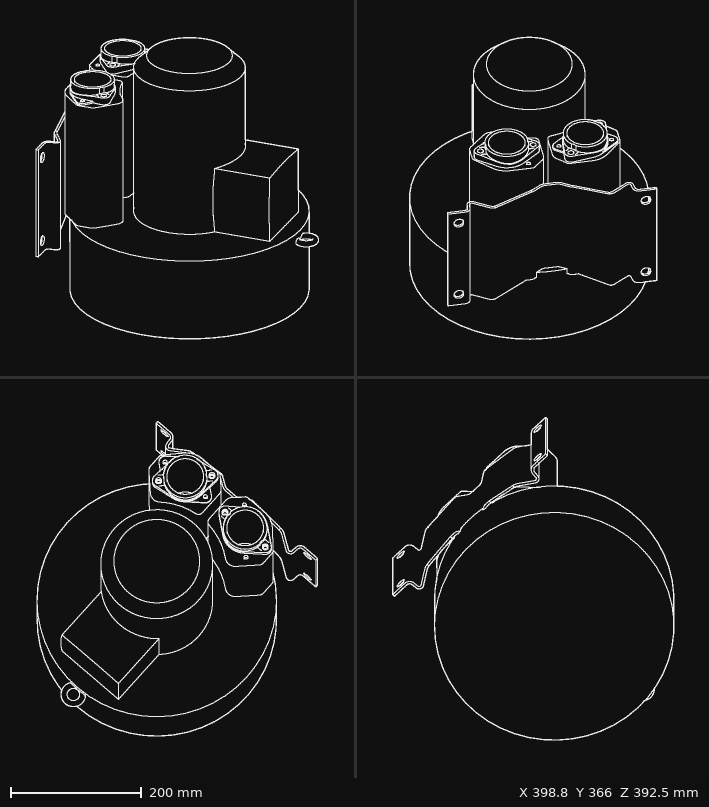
import cadquery as cq
import math


DRUM_RADIUS = 183.0
DRUM_HEIGHT = 131.0

MOTOR_RADIUS = 85.5
MOTOR_TOP = 392.5
MOTOR_CHAMFER = 20.0

BOX_END_X = 155.5
BOX_FAR_Y = 59.0
BOX_NEAR_Y = -56.0
BOX_CORNER_Z = 237.5
BOX_BOW = 2.6

EYE_WIRE_RADIUS = 4.7
EYE_RING_RADIUS = 14.3
EYE_X = 192.75
EYE_Z = 116.0

SILENCER_X = -135.0
SILENCER_Y = 61.0
SILENCER_TOP = 333.5
SILENCER_HALF_WIDTH = 54.0
SILENCER_BACK_X = -177.0
BACK_ROUND_RADIUS = 35.0
BACK_ROUND_Y = 63.7
MOTOR_GAP_RADIUS = 106.5
BACK_SLOPE_ANGLE = 133.4
BACK_CORNER_CUT = 20.0
FRONT_SLOPE_START_X = -112.0
BACK_CORNER_FILLET = 5.0
INNER_CORNER_FILLET = 12.0
SLOPE_FILLET = 8.0
FRONT_FILLET = 9.5
NOSE_FILLET = 15.0

PIPE_RADIUS = 33.5
BORE_RADIUS = 28.0
PIPE_TOP = 354.8
FLANGE_TOP = 344.8
FLANGE_WAIST_TOP = 340.0
FLANGE_RADIUS = 34.8
EAR_RADIUS = 9.5
EAR_OFFSET = 41.0
EAR_PAD_WIDTH = 17.0
GASKET_THICKNESS = 2.5
SCREW_HOLE_RADIUS = 4.5
SCREW_HEAD_RADIUS = 8.7
TAPPED_HOLE_RADIUS = 3.0
TAPPED_HOLE_DEPTH = 15.0
GASKET_EAR_ANGLE = 90.0
DIAGONAL_EAR_ANGLE = 43.0

BRACKET_THICKNESS = 4.0
BRACKET_FOOT_BACK_X = -187.0
BRACKET_FOOT_X = BRACKET_FOOT_BACK_X + BRACKET_THICKNESS / 2
BRACKET_BENDS = [
    (-171.7, 13.0, 13.0),
    (-183.5, 30.5, 9.0),
    (-183.5, 93.5, 16.0),
    (-161.5, 126.5, 5.0),
    (BRACKET_FOOT_X, 129.0, 8.0),
]
BRACKET_HALF_WIDTH = 162.6
BRACKET_BOTTOM = 91.0
BRACKET_TOP = 271.0
BRACKET_MID_BOTTOM = 121.5
BRACKET_MID_TOP = 293.5
BRACKET_TOP_SLOPE = (32.0, 89.0)
BRACKET_BOTTOM_SLOPE = (41.0, 91.0)
BRACKET_NOTCH_HALF_WIDTH = 23.3
BRACKET_HOLE_RADIUS = 7.5
BRACKET_HOLE_Y = 145.5
BRACKET_HOLE_INSET = 20.0
POINT_TOLERANCE = 0.01


def cylinder(x, y, radius, bottom, top):
    return cq.Workplane("XY", origin=(x, y, bottom)).circle(radius).extrude(top - bottom)


def make_drum_and_motor():
    drum = cylinder(0, 0, DRUM_RADIUS, 0, DRUM_HEIGHT)
    motor = cylinder(0, 0, MOTOR_RADIUS, DRUM_HEIGHT, MOTOR_TOP)
    return drum.union(motor.faces(">Z").chamfer(MOTOR_CHAMFER))


def make_terminal_box():
    middle_y = (BOX_FAR_Y + BOX_NEAR_Y) / 2
    middle_z = (DRUM_HEIGHT + BOX_CORNER_Z) / 2
    return (
        cq.Workplane("YZ")
        .moveTo(BOX_FAR_Y, DRUM_HEIGHT)
        .lineTo(BOX_FAR_Y, BOX_CORNER_Z)
        .threePointArc((middle_y, BOX_CORNER_Z + BOX_BOW), (BOX_NEAR_Y, BOX_CORNER_Z))
        .threePointArc((BOX_NEAR_Y - BOX_BOW, middle_z), (BOX_NEAR_Y, DRUM_HEIGHT))
        .close()
        .extrude(BOX_END_X)
    )


def make_lifting_eye():
    ring = cq.Solid.makeTorus(EYE_RING_RADIUS, EYE_WIRE_RADIUS)
    return cq.Workplane(ring).translate((EYE_X, 0, EYE_Z))


def make_silencer_body():
    """Body on the +Y side, without any holes."""
    inner_y = SILENCER_Y - SILENCER_HALF_WIDTH
    outer_y = SILENCER_Y + SILENCER_HALF_WIDTH

    slope = math.radians(BACK_SLOPE_ANGLE)
    half_slope = math.radians((180 + BACK_SLOPE_ANGLE) / 2)
    round_x = SILENCER_BACK_X + BACK_ROUND_RADIUS
    round_end = (
        round_x + BACK_ROUND_RADIUS * math.cos(slope),
        BACK_ROUND_Y + BACK_ROUND_RADIUS * math.sin(slope),
    )
    round_middle = (
        round_x + BACK_ROUND_RADIUS * math.cos(half_slope),
        BACK_ROUND_Y + BACK_ROUND_RADIUS * math.sin(half_slope),
    )
    slope_end = (round_end[0] - (outer_y - round_end[1]) * math.tan(slope), outer_y)

    front_start = (FRONT_SLOPE_START_X, outer_y)
    slope_sum = FRONT_SLOPE_START_X + outer_y
    nose_x = (slope_sum - math.sqrt(2 * MOTOR_GAP_RADIUS**2 - slope_sum**2)) / 2
    nose = (nose_x, slope_sum - nose_x)
    hollow_end = (-math.sqrt(MOTOR_GAP_RADIUS**2 - inner_y**2), inner_y)
    hollow_angle = (math.atan2(nose[1], nose[0]) + math.atan2(hollow_end[1], hollow_end[0])) / 2
    hollow_middle = (
        MOTOR_GAP_RADIUS * math.cos(hollow_angle),
        MOTOR_GAP_RADIUS * math.sin(hollow_angle),
    )
    cut_inner = (SILENCER_BACK_X + BACK_CORNER_CUT, inner_y)
    cut_back = (SILENCER_BACK_X, inner_y + BACK_CORNER_CUT)

    body = (
        cq.Workplane("XY", origin=(0, 0, DRUM_HEIGHT))
        .moveTo(*cut_back)
        .lineTo(SILENCER_BACK_X, BACK_ROUND_Y)
        .threePointArc(round_middle, round_end)
        .lineTo(*slope_end)
        .lineTo(*front_start)
        .lineTo(*nose)
        .threePointArc(hollow_middle, hollow_end)
        .lineTo(*cut_inner)
        .close()
        .extrude(SILENCER_TOP - DRUM_HEIGHT)
    )
    rounded_corners = [
        (cut_back, BACK_CORNER_FILLET),
        (slope_end, SLOPE_FILLET),
        (front_start, FRONT_FILLET),
        (nose, NOSE_FILLET),
        (hollow_end, SLOPE_FILLET),
        (cut_inner, INNER_CORNER_FILLET),
    ]
    middle_z = (DRUM_HEIGHT + SILENCER_TOP) / 2
    for (x, y), radius in rounded_corners:
        corner = cq.selectors.NearestToPointSelector((x, y, middle_z))
        body = body.edges("|Z").edges(corner).fillet(radius)
    return body


def eared_plate(bottom, top):
    """Round plate on the Z axis with two ears along X, joined by tangent lines."""
    tilt = math.acos((FLANGE_RADIUS - EAR_RADIUS) / EAR_OFFSET)
    waist = (FLANGE_RADIUS * math.cos(tilt), FLANGE_RADIUS * math.sin(tilt))
    ear = (EAR_OFFSET + EAR_RADIUS * math.cos(tilt), EAR_RADIUS * math.sin(tilt))
    tip_x = EAR_OFFSET + EAR_RADIUS
    return (
        cq.Workplane("XY", origin=(0, 0, bottom))
        .moveTo(*waist)
        .threePointArc((0, FLANGE_RADIUS), (-waist[0], waist[1]))
        .lineTo(-ear[0], ear[1])
        .threePointArc((-tip_x, 0), (-ear[0], -ear[1]))
        .lineTo(-waist[0], -waist[1])
        .threePointArc((0, -FLANGE_RADIUS), (waist[0], -waist[1]))
        .lineTo(ear[0], -ear[1])
        .threePointArc((tip_x, 0), ear)
        .close()
        .extrude(top - bottom)
    )


def make_hose_flange():
    """Flange and pipe on the Z axis: ears along X, flanks falling towards the waist."""
    plate = eared_plate(SILENCER_TOP, FLANGE_TOP)
    flank_space = (
        cq.Workplane("XZ")
        .polyline([(-EAR_OFFSET, FLANGE_TOP), (0, FLANGE_WAIST_TOP), (EAR_OFFSET, FLANGE_TOP)])
        .close()
        .extrude(FLANGE_RADIUS, both=True)
    )
    pads = cq.Workplane("XY", origin=(0, 0, SILENCER_TOP)).rect(2 * EAR_OFFSET, EAR_PAD_WIDTH)
    pads = pads.extrude(FLANGE_TOP - SILENCER_TOP)
    flange = plate.cut(flank_space.cut(pads)).union(cylinder(0, 0, PIPE_RADIUS, SILENCER_TOP, PIPE_TOP))
    for x in (-EAR_OFFSET, EAR_OFFSET):
        flange = flange.cut(cylinder(x, 0, SCREW_HOLE_RADIUS, SILENCER_TOP, FLANGE_TOP))
        flange = flange.cut(cylinder(x, 0, SCREW_HEAD_RADIUS, FLANGE_TOP, PIPE_TOP))
    return flange


def on_silencer(shape, side, angle):
    """Turn a shape built on the Z axis and move it onto the silencer of the given side."""
    return shape.rotate((0, 0, 0), (0, 0, 1), angle).translate((SILENCER_X, side * SILENCER_Y, 0))


def make_silencer(side, flange_angle):
    """Silencer on the +Y side (side = 1) or the -Y side (side = -1)."""
    silencer = make_silencer_body()
    if side < 0:
        silencer = silencer.mirror("XZ")
    gasket_top = SILENCER_TOP + GASKET_THICKNESS
    gasket = eared_plate(SILENCER_TOP, gasket_top)
    silencer = silencer.union(on_silencer(gasket, side, GASKET_EAR_ANGLE))

    hole_bottom = SILENCER_TOP - TAPPED_HOLE_DEPTH
    for angle in (GASKET_EAR_ANGLE, side * DIAGONAL_EAR_ANGLE):
        for x in (-EAR_OFFSET, EAR_OFFSET):
            hole = cylinder(x, 0, TAPPED_HOLE_RADIUS, hole_bottom, gasket_top)
            silencer = silencer.cut(on_silencer(hole, side, angle))

    silencer = silencer.union(on_silencer(make_hose_flange(), side, flange_angle))
    return silencer.cut(cylinder(SILENCER_X, side * SILENCER_Y, BORE_RADIUS, DRUM_HEIGHT, PIPE_TOP))


def make_bracket_sheet():
    """Bent sheet of full height, swept along its centre line."""
    corners = [(x, y) for x, y, _ in BRACKET_BENDS] + [(BRACKET_FOOT_X, BRACKET_HALF_WIDTH)]
    line = [(x, -y) for x, y in reversed(corners)] + corners
    path = cq.Wire.makePolygon([cq.Vector(x, y, BRACKET_BOTTOM) for x, y in line])
    for x, y, radius in BRACKET_BENDS:
        bends = [v for v in path.Vertices() if math.dist((v.X, abs(v.Y)), (x, y)) < POINT_TOLERANCE]
        path = path.fillet2D(radius, bends)
    section = cq.Workplane("XZ", origin=(BRACKET_FOOT_X, -BRACKET_HALF_WIDTH, BRACKET_BOTTOM))
    height = BRACKET_MID_TOP - BRACKET_BOTTOM
    section = section.center(0, height / 2).rect(BRACKET_THICKNESS, height)
    return section.sweep(cq.Workplane(path))


def make_bracket():
    top_inner, top_outer = BRACKET_TOP_SLOPE
    bottom_inner, bottom_outer = BRACKET_BOTTOM_SLOPE
    half_outline = [
        (BRACKET_NOTCH_HALF_WIDTH, DRUM_HEIGHT),
        (BRACKET_NOTCH_HALF_WIDTH, BRACKET_MID_BOTTOM),
        (bottom_inner, BRACKET_MID_BOTTOM),
        (bottom_outer, BRACKET_BOTTOM),
        (BRACKET_HALF_WIDTH, BRACKET_BOTTOM),
        (BRACKET_HALF_WIDTH, BRACKET_TOP),
        (top_outer, BRACKET_TOP),
        (top_inner, BRACKET_MID_TOP),
    ]
    other_half = [(-y, z) for y, z in reversed(half_outline)]
    outline = cq.Workplane("YZ").polyline(half_outline + other_half).close().extrude(-DRUM_RADIUS * 2)
    hole_points = [
        (y, z)
        for y in (-BRACKET_HOLE_Y, BRACKET_HOLE_Y)
        for z in (BRACKET_BOTTOM + BRACKET_HOLE_INSET, BRACKET_TOP - BRACKET_HOLE_INSET)
    ]
    foot_holes = cq.Workplane("YZ", origin=(BRACKET_FOOT_BACK_X, 0, 0)).pushPoints(hole_points)
    foot_holes = foot_holes.circle(BRACKET_HOLE_RADIUS).extrude(BRACKET_THICKNESS)
    return make_bracket_sheet().intersect(outline).cut(foot_holes)


result = (
    make_drum_and_motor()
    .union(make_terminal_box())
    .union(make_lifting_eye())
    .union(make_silencer(1, GASKET_EAR_ANGLE))
    .union(make_silencer(-1, -DIAGONAL_EAR_ANGLE))
    .union(make_bracket())
)